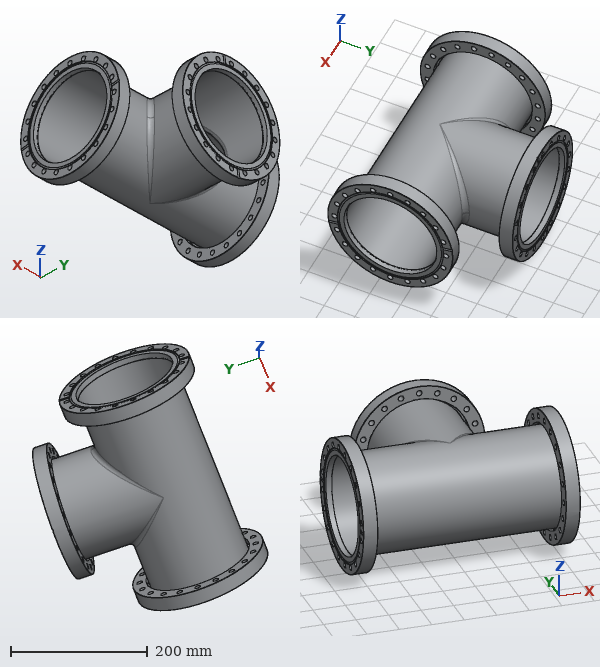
import cadquery as cq
import math

TUBE_OD = 154.0
TUBE_ID = 150.0
END_REACH = 167.0
TUBE_SETBACK = 9.5
CROTCH_RADIUS = 8.0
TUBE_WALL = (TUBE_OD - TUBE_ID) / 2
TUBE_REACH = END_REACH - TUBE_SETBACK

FLANGE_OD = 203.0
FLANGE_THICKNESS = 22.3
RIM_CHAMFER = 0.5
FLANGE_BORE = 150.5
TUBE_SOCKET = 154.5
BACK_OPENING = 161.0
BACK_RECESS = 8.0
SHOULDER_DEPTH = FLANGE_THICKNESS - BACK_RECESS
KNIFE_DIAMETER = 165.8
KNIFE_DEPTH = 0.6
SEAT_DEPTH = 1.6

BOLT_COUNT = 20
BOLT_CIRCLE = 181.0
BOLT_HOLE = 8.4
BOLT_PITCH = 360.0 / BOLT_COUNT
GROOVE_RADIUS = 2.0
GROOVE_AXIS_HEIGHT = 0.9

FIXED_SEAT_DIAMETER = 171.4
WELD_RING_OD = 171.3
ROTATABLE_BORE = 172.1


def cylinder_x(diameter):
    return cq.Workplane("YZ").circle(diameter / 2).extrude(TUBE_REACH, both=True)


def cylinder_y(diameter):
    return cq.Workplane("XZ").circle(diameter / 2).extrude(-TUBE_REACH)


def tee_shape(diameter, crotch_radius):
    """Two equal crossing cylinders, with the edge where they meet rounded."""
    shape = cylinder_x(diameter).union(cylinder_y(diameter))
    half_box = diameter / 2 + 1
    crotch = cq.selectors.BoxSelector((-half_box, 1, -half_box), (half_box, half_box, half_box))
    return shape.edges(crotch).fillet(crotch_radius)


def make_tee():
    return tee_shape(TUBE_OD, CROTCH_RADIUS).cut(tee_shape(TUBE_ID, CROTCH_RADIUS + TUBE_WALL))


def revolve(points):
    """Revolve a (radius, height) outline about the local Z axis; the sealing face is at height 0."""
    return cq.Workplane("XZ").polyline(points).close().revolve(360, (0, 0, 0), (0, 1, 0))


def rim_outline():
    """Chamfered outer rim, from the sealing face round to the back opening."""
    rim = FLANGE_OD / 2
    return [
        (rim - RIM_CHAMFER, 0),
        (rim, -RIM_CHAMFER),
        (rim, RIM_CHAMFER - FLANGE_THICKNESS),
        (rim - RIM_CHAMFER, -FLANGE_THICKNESS),
        (BACK_OPENING / 2, -FLANGE_THICKNESS),
        (BACK_OPENING / 2, -SHOULDER_DEPTH),
    ]


def socket_outline():
    """Tube socket, from the shoulder up to the flange bore."""
    return [
        (TUBE_SOCKET / 2, -SHOULDER_DEPTH),
        (TUBE_SOCKET / 2, -TUBE_SETBACK),
        (FLANGE_BORE / 2, -TUBE_SETBACK),
    ]


def knife_outline(seat_diameter):
    """Flat inner face and the knife edge sloping down to the gasket seat."""
    return [
        (FLANGE_BORE / 2, -KNIFE_DEPTH),
        (KNIFE_DIAMETER / 2, -KNIFE_DEPTH),
        (seat_diameter / 2, -SEAT_DEPTH),
    ]


def drill_and_groove(flange, seat_diameter):
    """Bolt holes straddling the local X axis, with a leak-check groove along it on each side."""
    holes = (
        cq.Workplane("XY")
        .polarArray(BOLT_CIRCLE / 2, BOLT_PITCH / 2, 360, BOLT_COUNT)
        .circle(BOLT_HOLE / 2)
        .extrude(-FLANGE_THICKNESS)
    )
    flange = flange.cut(holes)
    groove_start = seat_diameter / 2 - GROOVE_RADIUS
    for side in (1, -1):
        groove = (
            cq.Workplane("YZ")
            .workplane(offset=side * groove_start)
            .center(0, GROOVE_AXIS_HEIGHT)
            .circle(GROOVE_RADIUS)
            .extrude(side * FLANGE_OD / 2)
        )
        flange = flange.cut(groove)
    return flange


def make_fixed_flange():
    seat_wall = [(FIXED_SEAT_DIAMETER / 2, 0)]
    outline = knife_outline(FIXED_SEAT_DIAMETER) + seat_wall + rim_outline() + socket_outline()
    return drill_and_groove(revolve(outline), FIXED_SEAT_DIAMETER)


def make_weld_ring():
    ring_back = [(WELD_RING_OD / 2, -SHOULDER_DEPTH)]
    return revolve(knife_outline(WELD_RING_OD) + ring_back + socket_outline())


def make_rotatable_ring():
    bore_top = [(ROTATABLE_BORE / 2, 0)]
    bore_bottom = [(ROTATABLE_BORE / 2, -SHOULDER_DEPTH)]
    return drill_and_groove(revolve(bore_top + rim_outline() + bore_bottom), ROTATABLE_BORE)


def place(part, origin, outward, groove_direction):
    """Move a part so its sealing face points outward and its grooves lie along groove_direction."""
    return part.val().moved(cq.Plane(origin, groove_direction, outward).location)


HALF_PITCH = math.radians(BOLT_PITCH / 2)

tee = make_tee()

weld_rings = []
rotatable_rings = []
for side, turn in ((-1, 0.0), (1, HALF_PITCH)):
    face_centre = (side * END_REACH, 0, 0)
    outward = (side, 0, 0)
    groove_direction = (0, math.cos(turn), math.sin(turn))
    weld_rings.append(place(make_weld_ring(), face_centre, outward, groove_direction))
    rotatable_rings.append(place(make_rotatable_ring(), face_centre, outward, groove_direction))

fixed_flange = place(
    make_fixed_flange(),
    (0, END_REACH, 0),
    (0, 1, 0),
    (math.sin(HALF_PITCH), 0, math.cos(HALF_PITCH)),
)

result = cq.Compound.makeCompound([tee.val(), *weld_rings, *rotatable_rings, fixed_flange])